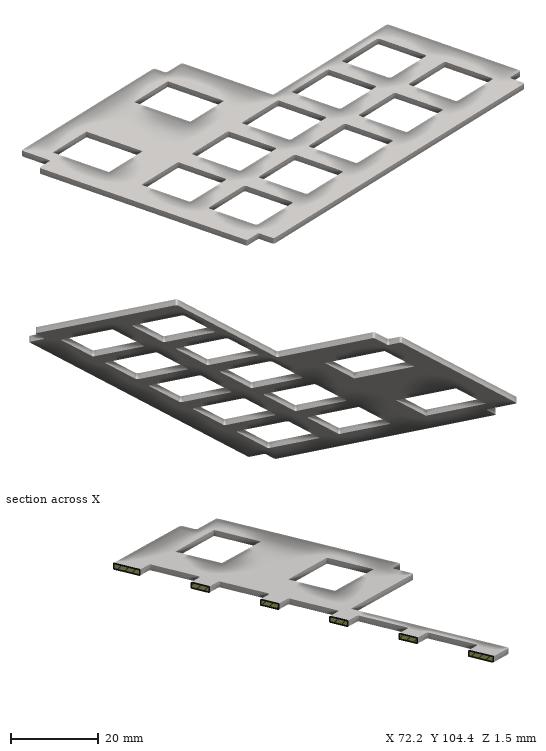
import cadquery as cq

plate_width = 72.2
plate_length = 104.4
thickness = 1.5
corner_radius = 0.5

left = -plate_width / 2
right = plate_width / 2
bottom = -plate_length / 2
top = plate_length / 2

notch_depth = 4.4
right_notch_width = 4.4
bottom_left_notch_width = 8.3
upper_block_left = -6.5
shoulder_top = 8.7
shoulder_notch_width = 3.5
shoulder_notch_depth = 6.0

key_size = 14.0
key_columns = 2
key_rows = 5
key_row_span = 76.2
key_pitch = key_row_span / (key_rows - 1)
first_column_x = 3.0
middle_row_y = 0.2
bottom_row_y = middle_row_y - key_row_span / 2

window_width = 16.1
window_height = 12.8
window_x = -21.7
window_spacing = 31.0


def make_plate():
    notch_left = left + bottom_left_notch_width
    notch_right = right - right_notch_width
    notch_bottom = bottom + notch_depth
    notch_top = top - notch_depth
    shoulder_left = left + shoulder_notch_width
    shoulder_bottom = shoulder_top - shoulder_notch_depth
    outline = [
        (notch_left, bottom),
        (notch_right, bottom),
        (notch_right, notch_bottom),
        (right, notch_bottom),
        (right, notch_top),
        (notch_right, notch_top),
        (notch_right, top),
        (upper_block_left, top),
        (upper_block_left, shoulder_top),
        (shoulder_left, shoulder_top),
        (shoulder_left, shoulder_bottom),
        (left, shoulder_bottom),
        (left, notch_bottom),
        (notch_left, notch_bottom),
    ]
    plate = cq.Workplane("XY").polyline(outline).close().extrude(thickness / 2, both=True)
    return plate.edges("|Z").fillet(corner_radius)


def make_openings(centres, width, height):
    """Rectangular cutters that pass right through the plate."""
    return cq.Workplane("XY").pushPoints(centres).rect(width, height).extrude(thickness, both=True)


key_centres = [
    (first_column_x + column * key_pitch, bottom_row_y + row * key_pitch)
    for column in range(key_columns)
    for row in range(key_rows)
]
window_centres = [
    (window_x, bottom_row_y),
    (window_x, bottom_row_y + window_spacing),
]

key_openings = make_openings(key_centres, key_size, key_size).edges("|Z").fillet(corner_radius)
windows = make_openings(window_centres, window_width, window_height)

result = make_plate().cut(key_openings).cut(windows)